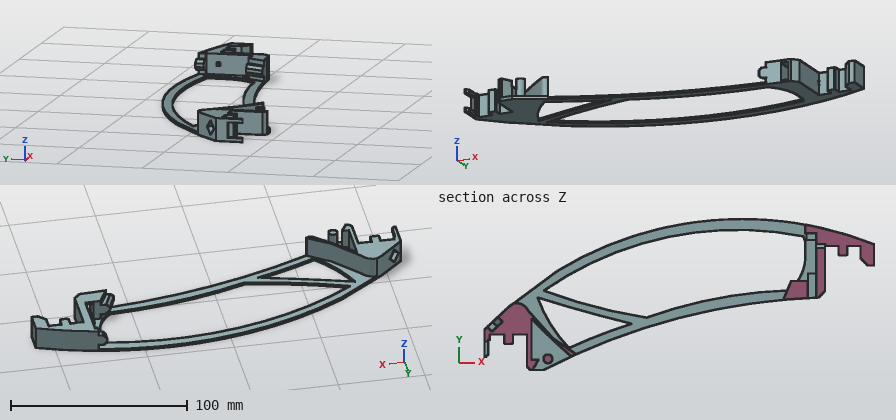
import cadquery as cq
import math

height = 13.2
plate_thickness = 1.3
left_floor = 2.0
mid_height = (height + plate_thickness) / 2
span = 220.7

top_arc = (146.0, -115.7, 201.3)
left_bottom_x = 33.5
bottom_arc_x = 202.2
bottom_radius = 365.0
bottom_arc_y = -math.sqrt(bottom_radius**2 - (bottom_arc_x - left_bottom_x) ** 2)
bottom_arc = (bottom_arc_x, bottom_arc_y, bottom_radius)

left_slope_start = (0, 23.0)
left_slope_end = (14.1, 36.2)
plate_left_corner = (16.8, 38.0)
left_crown = (21.2, 37.3)
left_wall_start = (25.0, 33.5)
top_arc_start_x = 41.3
left_wall_bend = (38.8, 18.0)
left_wall_end_x = 52.0
left_notch_top = 20.0
left_notch_x = (3.0, 24.0)
left_corner_chamfer = 2.0
finger_thickness = 2.2
finger_step_y = 17.2
finger_tip_y = 7.5
finger_tip_chamfer = 1.3
finger_slot_top = 16.1
finger_slot_z = (2.2, 11.0)
left_peg_x = 13.7
pin_center = (36.0, 6.5)
pin_diameter = 5.0
socket_center = (4.6, 27.4)
socket_side = 5.7
socket_depth = 3.8
socket_z = height / 2

right_bottom_x = 189.4
right_notch_top = 70.2
right_notch_x = (193.0, 213.0)
right_corner_chamfer = 3.8
hook_tip_y = 59.2
hook_chamfer = 4.2
right_peg_x = 203.0
upper_face_x = 186.3
lower_face_top_x = 179.2
lower_face_bottom_x = 174.0
pocket_wall_x = 187.8
pocket_y = (50.5, 77.5)
pilot_diameter = 2.5
pilot_y = 70.5

slot_x = 183.2
slot_z = (1.21, 11.7)
lower_seat_y = 54.7
upper_seat_x = 182.3
upper_seat_y = 73.7

peg_width = 5.0
peg_length = 5.3
peg_chamfer = 0.7

tongue_height = 6.2
tongue_tip_height = 2.2
tongue_flat = 2.6
tongue_taper = 2.0
lower_tongue_root = (178.8, pocket_y[0])
lower_tongue_lean = 23.0


def on_arc(arc, x):
    """Point at x on the upper half of an arc."""
    center_x, center_y, radius = arc
    return (x, center_y + math.sqrt(radius**2 - (x - center_x) ** 2))


def arc_to(sketch, arc, x_from, x_to):
    """Continue an outline along an arc from x_from to x_to."""
    return sketch.threePointArc(on_arc(arc, (x_from + x_to) / 2), on_arc(arc, x_to))


def box(x_range, y_range, z_range):
    corner = (x_range[0], y_range[0], z_range[0])
    size = [high - low for low, high in (x_range, y_range, z_range)]
    return cq.Workplane("XY").box(*size, centered=False).translate(corner)


def web_outline():
    """Area between the two long arcs, closed inside both end blocks."""
    outline = cq.Workplane("XY").moveTo(left_bottom_x, 0)
    outline = arc_to(outline, bottom_arc, left_bottom_x, right_bottom_x)
    outline = outline.lineTo(*on_arc(top_arc, right_bottom_x))
    outline = arc_to(outline, top_arc, right_bottom_x, top_arc_start_x)
    return outline.lineTo(*plate_left_corner).close()


def large_window():
    """Opening bounded by the top rim, the brace, the bottom rim and the right block."""
    left, brace_middle, junction = (33.8, 45.0), (59.8, 36.6), (91.8, 29.8)
    bottom_middle, top_middle = (133.5, 41.0), (108.1, 76.1)
    right_low, right_bend, right_mid = (172.8, 45.2), (179.0, 53.2), (181.6, 62.7)
    right_high, top_right = (181.6, 72.8), (180.5, 75.7)
    return (
        cq.Workplane("XY")
        .moveTo(*left)
        .threePointArc(brace_middle, junction)
        .threePointArc(bottom_middle, right_low)
        .threePointArc(right_bend, right_mid)
        .lineTo(*right_high)
        .lineTo(*top_right)
        .threePointArc(top_middle, left)
        .close()
        .extrude(height)
    )


def small_window():
    """Three-sided opening between the brace, the bottom rim and the left block."""
    top_left, right, bottom = (30.2, 41.0), (83.2, 26.3), (48.0, 12.5)
    brace_middle, bottom_middle, left_middle = (53.9, 34.0), (65.0, 19.9), (37.0, 26.7)
    return (
        cq.Workplane("XY")
        .moveTo(*top_left)
        .threePointArc(brace_middle, right)
        .threePointArc(bottom_middle, bottom)
        .threePointArc(left_middle, top_left)
        .close()
        .extrude(height)
    )


def web():
    plate = web_outline().extrude(plate_thickness)
    return plate.cut(large_window()).cut(small_window())


def peg(center_x, root_y):
    """Locating peg hanging from the top of a notch."""
    blank = box(
        (center_x - peg_width / 2, center_x + peg_width / 2),
        (root_y - peg_length, root_y),
        (0, height),
    )
    return blank.faces("<Y").edges("|Z").chamfer(peg_chamfer)


def left_block():
    notch_left, notch_right = left_notch_x
    outline = (
        cq.Workplane("XY")
        .moveTo(*left_slope_start)
        .lineTo(*left_slope_end)
        .lineTo(*plate_left_corner)
        .threePointArc(left_crown, left_wall_start)
        .lineTo(*left_wall_bend)
        .lineTo(*on_arc(bottom_arc, left_wall_end_x))
    )
    outline = arc_to(outline, bottom_arc, left_wall_end_x, left_bottom_x)
    block = (
        outline.lineTo(notch_right + left_corner_chamfer, 0)
        .lineTo(notch_right, left_corner_chamfer)
        .lineTo(notch_right, left_notch_top)
        .lineTo(notch_left, left_notch_top)
        .lineTo(notch_left, finger_step_y)
        .lineTo(finger_thickness, finger_step_y)
        .lineTo(finger_thickness, finger_tip_y + finger_tip_chamfer)
        .lineTo(finger_thickness - finger_tip_chamfer, finger_tip_y)
        .lineTo(0, finger_tip_y)
        .close()
        .extrude(height)
    )
    finger_slot = box((0, finger_thickness), (0, finger_slot_top), finger_slot_z)
    pin = (
        cq.Workplane("XY").center(*pin_center).circle(pin_diameter / 2).extrude(height)
    )
    block = block.cut(left_pocket()).cut(finger_slot).cut(socket())
    return block.union(pin).union(peg(left_peg_x, left_notch_top))


def left_pocket():
    """Corner pocket open towards the bottom arc."""
    wall_x, ledge_y, ledge_x = 26.7, 6.0, 30.7
    inner_corner, wall_middle = (wall_x, 29.1), (37.5, 18.3)
    tip_inner, tip_middle, tip_outer = (47.7, 9.0), (49.2, 8.2), (51.9, 9.5)
    outside_y, ledge_foot_x = -2.2, 26.0
    return (
        cq.Workplane("XY", origin=(0, 0, left_floor))
        .moveTo(wall_x, ledge_y)
        .lineTo(*inner_corner)
        .threePointArc(wall_middle, tip_inner)
        .threePointArc(tip_middle, tip_outer)
        .lineTo(tip_outer[0], outside_y)
        .lineTo(ledge_foot_x, outside_y)
        .lineTo(ledge_x, ledge_y)
        .close()
        .extrude(height)
    )


def socket():
    """Blind square hole, set on its corner, square to the sloping left face."""
    run = left_slope_end[0] - left_slope_start[0]
    rise = left_slope_end[1] - left_slope_start[1]
    mouth = cq.Plane(
        origin=(*socket_center, socket_z), xDir=(run, rise, 0), normal=(rise, -run, 0)
    )
    return (
        cq.Workplane(mouth)
        .transformed(rotate=(0, 0, 45))
        .rect(socket_side, socket_side)
        .extrude(socket_depth, both=True)
    )


def right_block():
    notch_left, notch_right = right_notch_x
    outline = cq.Workplane("XY").moveTo(*on_arc(bottom_arc, lower_face_bottom_x))
    outline = arc_to(outline, bottom_arc, lower_face_bottom_x, right_bottom_x)
    outline = (
        outline.lineTo(notch_left, on_arc(bottom_arc, right_bottom_x)[1] + right_corner_chamfer)
        .lineTo(notch_left, right_notch_top)
        .lineTo(notch_right, right_notch_top)
        .lineTo(notch_right, hook_tip_y + hook_chamfer)
        .lineTo(notch_right + hook_chamfer, hook_tip_y)
        .lineTo(span, hook_tip_y)
        .lineTo(*on_arc(top_arc, span))
    )
    outline = arc_to(outline, top_arc, span, upper_face_x)
    block = (
        outline.lineTo(upper_face_x, pocket_y[1])
        .lineTo(pocket_wall_x, pocket_y[1])
        .lineTo(pocket_wall_x, pocket_y[0])
        .lineTo(lower_face_top_x, pocket_y[0])
        .close()
        .extrude(height)
    )
    pilot = (
        cq.Workplane("YZ", origin=(pocket_wall_x, pilot_y, mid_height))
        .circle(pilot_diameter / 2)
        .extrude(notch_left - pocket_wall_x)
    )
    return block.cut(pilot).union(peg(right_peg_x, right_notch_top))


def tongue(root, lean):
    """Tapered tongue running along a block face; lean is its angle from +Y."""
    angle = math.radians(lean)
    face = cq.Plane(
        origin=(*root, mid_height),
        xDir=(-math.cos(angle), math.sin(angle), 0),
        normal=(math.sin(angle), math.cos(angle), 0),
    )
    half_root, half_tip = tongue_height / 2, tongue_tip_height / 2
    reach = tongue_flat + tongue_taper
    overlap = 0.9
    return (
        cq.Workplane(face)
        .polyline(
            [
                (-overlap, -half_root),
                (tongue_flat, -half_root),
                (reach, -half_tip),
                (reach, half_tip),
                (tongue_flat, half_root),
                (-overlap, half_root),
            ]
        )
        .close()
        .extrude(height, both=True)
    )


def tongues():
    pair = tongue(lower_tongue_root, lower_tongue_lean).union(tongue((upper_face_x, pocket_y[1]), 0))
    pocket_space = box((0, pocket_wall_x), pocket_y, (0, height))
    return pair.intersect(web_outline().extrude(height)).cut(pocket_space)


def arm_slot():
    """Slot along Y through the lower arm, ending in a seat in the pocket floor."""
    return box((slot_x, pocket_wall_x), (0, lower_seat_y), slot_z)


def upper_seat():
    """Shallow seat in the pocket floor, facing the arm slot."""
    return box((upper_seat_x, pocket_wall_x), (upper_seat_y, pocket_y[1]), (slot_z[0], mid_height))


result = web().union(left_block()).union(right_block()).union(tongues())
result = result.cut(arm_slot()).cut(upper_seat())